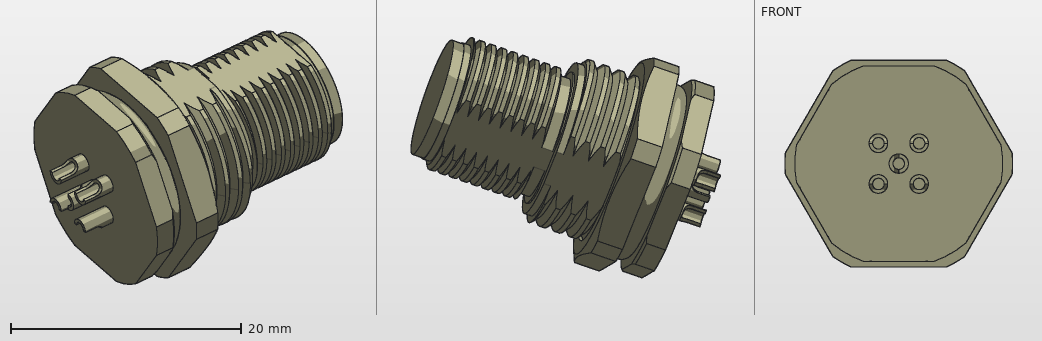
import cadquery as cq
import math


FLANGE_LENGTH = 2.0
RING_GAP = 1.6
NUT_LENGTH = 2.8
REAR_THREAD_EXPOSED = 4.8
REAR_COLLAR_LENGTH = 0.64
FRONT_DISC_LENGTH = 0.14
RELIEF_LENGTH = 1.02
FRONT_THREAD_LENGTH = 8.2
TIP_STEP_LENGTH = 0.63
TOTAL_LENGTH = 22.8

NUT_START = FLANGE_LENGTH + RING_GAP
NUT_END = NUT_START + NUT_LENGTH
REAR_THREAD_END = NUT_END + REAR_THREAD_EXPOSED
SHOULDER = REAR_THREAD_END + REAR_COLLAR_LENGTH
RELIEF_START = SHOULDER + FRONT_DISC_LENGTH
FRONT_THREAD_START = RELIEF_START + RELIEF_LENGTH
FRONT_THREAD_END = FRONT_THREAD_START + FRONT_THREAD_LENGTH
TIP_STEP_END = FRONT_THREAD_END + TIP_STEP_LENGTH

FLANGE_FLATS = 17.0
FLANGE_RADIUS = 9.03
FLANGE_BEVEL = (0.22, 0.24)
NUT_FLATS = 18.0
NUT_RADIUS = 9.9
NUT_BEVEL = (1.1, 0.49)

REAR_CREST_RADIUS = 7.55
REAR_ROOT_RADIUS = 6.97
REAR_PITCH = 1.41
REAR_V_ANGLE = 80.0
REAR_GROOVE_OFFSET = 0.41
REAR_COLLAR_RADIUS = 6.93
REAR_FLAT_HEIGHT = 6.745
FRONT_CREST_RADIUS = 6.03
FRONT_ROOT_RADIUS = 5.52
FRONT_PITCH = 1.0
FRONT_V_ANGLE = 60.0
FRONT_GROOVE_OFFSET = 0.87
FRONT_FLAT_HEIGHT = 5.33
GROOVE_OVERCUT = 0.1
RELIEF_RADIUS = 5.42
TIP_STEP_RADIUS = 5.34
TIP_RADIUS = 5.26

RING_OUTER_RADIUS = 8.0
RING_SECTION_RADIUS = 0.89
SEAT_RADIUS = REAR_COLLAR_RADIUS

PIN_LENGTH = 3.0
PIN_CIRCLE_RADIUS = 2.5
PIN_RADIUS = 0.81
CENTRE_PIN_RADIUS = 0.84
CUP_BORE_RADIUS = 0.5
CUP_BORE_DEPTH = 2.5
CUP_CUT_LENGTH = 1.97


def cylinder(radius, start, end):
    """A cylinder on the Y axis between two stations."""
    return cq.Workplane("XZ", origin=(0, start, 0)).circle(radius).extrude(start - end)


def bevelled_hexagon(flats, radius, start, end, bevel):
    """A hexagon with corners on X, rounded by a cylinder and bevelled at its front end."""
    corner_diameter = flats / math.cos(math.pi / 6)
    hexagon = cq.Workplane("XZ", origin=(0, start, 0)).polygon(6, corner_diameter).extrude(start - end)
    radial, axial = bevel
    envelope = (
        cq.Workplane("YZ")
        .moveTo(start, 0)
        .lineTo(start, radius)
        .lineTo(end - axial, radius)
        .lineTo(end, radius - radial)
        .lineTo(end, 0)
        .close()
        .revolve(360, (0, 0, 0), (1, 0, 0))
    )
    return hexagon.intersect(envelope)


def flattened_cylinder(radius, start, end, flat_height):
    """A cylinder with two flats facing up and down."""
    length = end - start
    flats = cq.Workplane("XY").box(2 * radius, length, 2 * flat_height).translate((0, start + length / 2, 0))
    return cylinder(radius, start, end).intersect(flats)


def thread(crest, root, pitch, v_angle, start, end, groove_offset, flat_height):
    """A left-hand thread with sharp roots and two flats facing up and down.

    groove_offset is how far behind the end the last groove's root lies, on the +X side.
    """
    mouth = crest + GROOVE_OVERCUT
    half_width = (mouth - root) * math.tan(math.radians(v_angle / 2))
    path = cq.Wire.makeHelix(pitch, pitch, root, lefthand=True)
    groove_turn = (
        cq.Workplane("XZ")
        .moveTo(root, 0)
        .lineTo(mouth, half_width)
        .lineTo(mouth, -half_width)
        .close()
        .sweep(cq.Workplane(obj=path), isFrenet=True)
        .rotate((0, 0, 0), (1, 0, 0), -90)
    )
    body = flattened_cylinder(crest, start, end, flat_height)
    turns = math.ceil((end - start) / pitch)
    for turn in range(-1, turns + 2):
        station = end - groove_offset - turn * pitch
        body = body.cut(groove_turn.translate((0, station, 0)))
    return body


def sealing_ring():
    """An O-ring squeezed flat against the flange and the nut."""
    centre_radius = RING_OUTER_RADIUS - RING_SECTION_RADIUS
    middle = FLANGE_LENGTH + RING_GAP / 2
    ring = (
        cq.Workplane("YZ")
        .center(middle, centre_radius)
        .circle(RING_SECTION_RADIUS)
        .revolve(360, (0, -centre_radius, 0), (1, -centre_radius, 0))
    )
    return ring.intersect(cylinder(FLANGE_RADIUS, FLANGE_LENGTH, NUT_START))


def solder_cup(radius, opening_angle):
    """A pin on the Y axis, bored from the rear, its wall cut away on one side."""
    cut_start = CUP_CUT_LENGTH - PIN_LENGTH
    pin = cylinder(radius, -PIN_LENGTH, 0)
    bore = cylinder(CUP_BORE_RADIUS, -PIN_LENGTH, CUP_BORE_DEPTH - PIN_LENGTH)
    notch = (
        cq.Workplane("YZ")
        .moveTo(cut_start, radius)
        .radiusArc((cut_start - radius, 0), radius)
        .lineTo(-PIN_LENGTH, 0)
        .lineTo(-PIN_LENGTH, radius)
        .close()
        .extrude(radius, both=True)
    )
    return pin.cut(bore).cut(notch).rotate((0, 0, 0), (0, 1, 0), opening_angle)


def build_housing():
    """The flange, threaded barrel, sealing ring and solder cups as one solid."""
    sections = [
        cylinder(SEAT_RADIUS, FLANGE_LENGTH, NUT_START),
        sealing_ring(),
        thread(
            REAR_CREST_RADIUS, REAR_ROOT_RADIUS, REAR_PITCH, REAR_V_ANGLE,
            NUT_START, REAR_THREAD_END, REAR_GROOVE_OFFSET, REAR_FLAT_HEIGHT,
        ),
        flattened_cylinder(REAR_COLLAR_RADIUS, REAR_THREAD_END, SHOULDER, REAR_FLAT_HEIGHT),
        flattened_cylinder(FRONT_CREST_RADIUS, SHOULDER, RELIEF_START, FRONT_FLAT_HEIGHT),
        flattened_cylinder(RELIEF_RADIUS, RELIEF_START, FRONT_THREAD_START, FRONT_FLAT_HEIGHT),
        thread(
            FRONT_CREST_RADIUS, FRONT_ROOT_RADIUS, FRONT_PITCH, FRONT_V_ANGLE,
            FRONT_THREAD_START, FRONT_THREAD_END, FRONT_GROOVE_OFFSET, FRONT_FLAT_HEIGHT,
        ),
        cylinder(TIP_STEP_RADIUS, FRONT_THREAD_END, TIP_STEP_END),
        cylinder(TIP_RADIUS, TIP_STEP_END, TOTAL_LENGTH),
    ]
    housing = bevelled_hexagon(FLANGE_FLATS, FLANGE_RADIUS, 0, FLANGE_LENGTH, FLANGE_BEVEL)
    for section in sections:
        housing = housing.union(section)

    pin_offset = PIN_CIRCLE_RADIUS / math.sqrt(2)
    for side in (-1, 1):
        for level, opening_angle in ((1, 0), (-1, 180)):
            cup = solder_cup(PIN_RADIUS, opening_angle)
            housing = housing.union(cup.translate((side * pin_offset, 0, level * pin_offset)))
    return housing.union(solder_cup(CENTRE_PIN_RADIUS, -90))


def build_nut():
    """The panel nut, its bore fitting over the crests of the rear thread."""
    nut = bevelled_hexagon(NUT_FLATS, NUT_RADIUS, NUT_START, NUT_END, NUT_BEVEL)
    return nut.cut(cylinder(REAR_CREST_RADIUS, NUT_START, NUT_END))


housing = build_housing()
nut = build_nut()
result = cq.Compound.makeCompound([housing.val(), nut.val()])